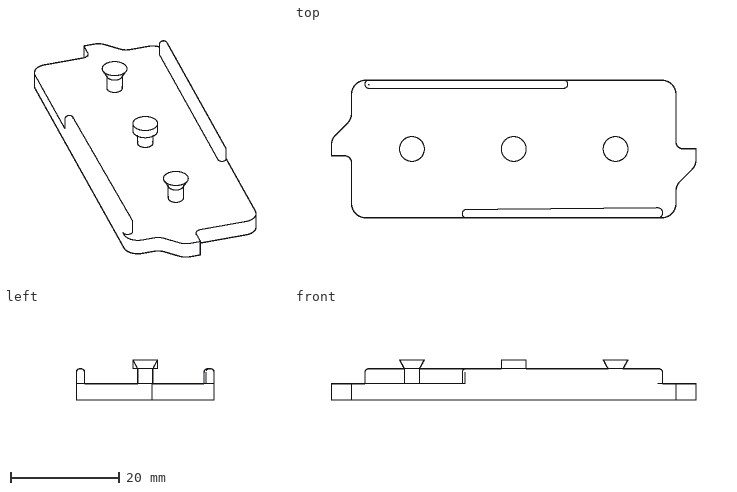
import cadquery as cq
import math

plate_length = 59.9
plate_width = 25.45
plate_thickness = 3.0
plate_corner_radius = 2.7

overall_length = 67.3
tab_blend_radius = 2.55
tab_root_radius = 1.2
tab_tip_length = 2.0
left_tab_flat_y = -1.3
right_tab_flat_y = 0.1

rail_height = 2.75
rail_width = 1.55
rail_wide_end_width = 1.9
rail_top_radius = 0.7
back_rail_end_depth = 0.75
front_rail_narrow_end_depth = 0.55
front_rail_wide_end_depth = 0.9
rail_outer_x = 27.45
back_rail_inner_x = 9.95
front_rail_inner_x = -9.5

pin_pitch = 18.8
pin_diameter = 2.8
head_diameter = 4.6
head_height = 1.6
overall_height = 7.4

half_length = plate_length / 2
half_width = plate_width / 2


def make_tab(flat_y):
    """Left-hand tab with its flat edge facing -Y at flat_y."""
    tip_x = -overall_length / 2
    root_x = -half_length
    inside_x = root_x + plate_corner_radius
    diagonal = math.sqrt(0.5)
    blend_dx = tab_blend_radius * (1 - diagonal)
    blend_dy = tab_blend_radius * diagonal
    mid_dx = tab_blend_radius * (1 - math.cos(math.pi / 8))
    mid_dy = tab_blend_radius * math.sin(math.pi / 8)
    tip_top_y = flat_y + tab_tip_length
    slope_run = root_x - tip_x - 2 * blend_dx
    slope_top_y = tip_top_y + blend_dy + slope_run
    root_top_y = slope_top_y + blend_dy
    root_mid_offset = tab_root_radius * (1 - diagonal)

    return (
        cq.Workplane("XY")
        .moveTo(tip_x, flat_y)
        .lineTo(tip_x, tip_top_y)
        .threePointArc((tip_x + mid_dx, tip_top_y + mid_dy), (tip_x + blend_dx, tip_top_y + blend_dy))
        .lineTo(root_x - blend_dx, slope_top_y)
        .threePointArc((root_x - mid_dx, root_top_y - mid_dy), (root_x, root_top_y))
        .lineTo(inside_x, root_top_y)
        .lineTo(inside_x, flat_y - tab_root_radius)
        .lineTo(root_x, flat_y - tab_root_radius)
        .threePointArc(
            (root_x - root_mid_offset, flat_y - root_mid_offset),
            (root_x - tab_root_radius, flat_y),
        )
        .close()
        .extrude(plate_thickness)
    )


def make_plate():
    body = (
        cq.Workplane("XY")
        .rect(plate_length, plate_width)
        .extrude(plate_thickness)
        .edges("|Z")
        .fillet(plate_corner_radius)
    )
    left_tab = make_tab(left_tab_flat_y)
    right_tab = make_tab(-right_tab_flat_y).rotate((0, 0, 0), (0, 0, 1), 180)
    return body.union(left_tab).union(right_tab)


def make_rail(left_x, right_x, outer_y, left_inner_y, right_inner_y, left_depth, right_depth):
    """Upright rail with bowed ends of the given depths and a rounded top edge."""
    return (
        cq.Workplane("XY")
        .workplane(offset=plate_thickness)
        .moveTo(left_x + left_depth, outer_y)
        .lineTo(right_x - right_depth, outer_y)
        .threePointArc((right_x, (outer_y + right_inner_y) / 2), (right_x - right_depth, right_inner_y))
        .lineTo(left_x + left_depth, left_inner_y)
        .threePointArc((left_x, (outer_y + left_inner_y) / 2), (left_x + left_depth, outer_y))
        .close()
        .extrude(rail_height)
        .faces(">Z")
        .edges()
        .fillet(rail_top_radius)
    )


def make_pin(x, head_base_diameter):
    """Round stem under a head that goes from head_base_diameter to head_diameter."""
    head_base_z = overall_height - head_height
    stem = cq.Workplane("XY").center(x, 0).circle(pin_diameter / 2).extrude(head_base_z)
    head = (
        cq.Workplane("XZ", origin=(x, 0, 0))
        .moveTo(0, head_base_z)
        .lineTo(head_base_diameter / 2, head_base_z)
        .lineTo(head_diameter / 2, overall_height)
        .lineTo(0, overall_height)
        .close()
        .revolve(360, (0, 0, 0), (0, 1, 0))
    )
    return stem.union(head)


back_rail_inner_y = half_width - rail_width
back_rail = make_rail(
    -rail_outer_x, back_rail_inner_x, half_width,
    back_rail_inner_y, back_rail_inner_y,
    back_rail_end_depth, back_rail_end_depth,
)
front_rail = make_rail(
    front_rail_inner_x, rail_outer_x, -half_width,
    rail_width - half_width, rail_wide_end_width - half_width,
    front_rail_narrow_end_depth, front_rail_wide_end_depth,
)

result = make_plate().union(back_rail).union(front_rail)
result = result.union(make_pin(0, head_diameter))
for side in (-1, 1):
    result = result.union(make_pin(side * pin_pitch, pin_diameter))